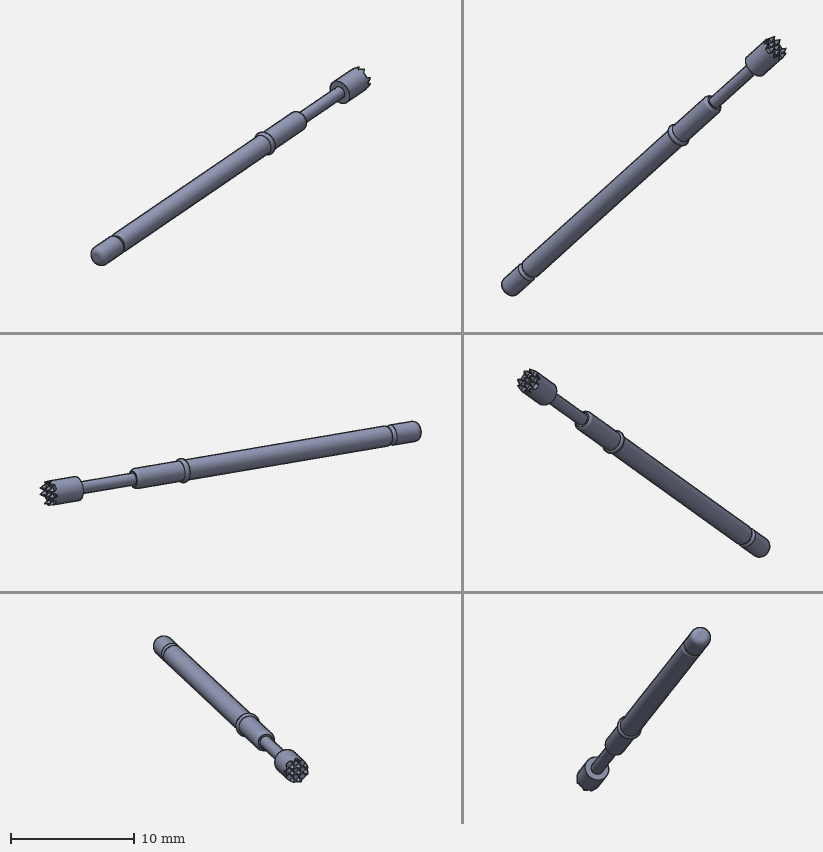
import cadquery as cq
import math

TOTAL_LENGTH = 35.7

HEAD_RADIUS = 1.0
HEAD_REAR_Y = 32.75
STEM_RADIUS = 0.5

TOOTH_HEIGHT = 0.45
TOOTH_HALF_DIAGONAL = 0.31
TOOTH_CROWN_DIAMETER = 1.9
TOOTH_CROWN_RADIUS = TOOTH_CROWN_DIAMETER / 2
INNER_TIP_OFFSET = 0.268
OUTER_TIP_OFFSET = 0.9
HEAD_FLOOR_Y = TOTAL_LENGTH - TOOTH_HEIGHT

BARREL_DIAMETER = 1.68
BARREL_RADIUS = BARREL_DIAMETER / 2
BARREL_FRONT_Y = 27.35
FRONT_FACE_RADIUS = 0.65
FRONT_ROUNDING_LENGTH = 0.32
REAR_FACE_RADIUS = 0.4
REAR_ROUNDING_LENGTH = 0.45

RING_Y = 22.65
RING_HALF_WIDTH = 0.25

CRIMP_RADIUS = 0.68
CRIMP_REAR_Y = 2.55
CRIMP_BOTTOM_Y = 2.85
CRIMP_FRONT_Y = 3.15


def rounding_middle(tangent_point, end_point):
    """Middle of the arc that starts parallel to the axis at tangent_point and runs to end_point."""
    start_radius, start_y = tangent_point
    rise = end_point[0] - start_radius
    run = end_point[1] - start_y
    arc_radius = (rise**2 + run**2) / (2 * abs(rise))
    half_angle = math.atan2(abs(rise), abs(run))
    middle_radius = start_radius + math.copysign(arc_radius * (1 - math.cos(half_angle)), rise)
    middle_y = start_y + math.copysign(arc_radius * math.sin(half_angle), run)
    return middle_radius, middle_y


def turned_body():
    """Revolve the half profile of (radius, Y) points around the Y axis."""
    rear_face = (REAR_FACE_RADIUS, 0)
    rear_tangent = (BARREL_RADIUS, REAR_ROUNDING_LENGTH)
    crimp_rear = (BARREL_RADIUS, CRIMP_REAR_Y)
    crimp_bottom = (CRIMP_RADIUS, CRIMP_BOTTOM_Y)
    crimp_front = (BARREL_RADIUS, CRIMP_FRONT_Y)
    front_tangent = (BARREL_RADIUS, BARREL_FRONT_Y - FRONT_ROUNDING_LENGTH)
    front_face = (FRONT_FACE_RADIUS, BARREL_FRONT_Y)
    profile = (
        cq.Workplane("XY")
        .lineTo(*rear_face)
        .threePointArc(rounding_middle(rear_tangent, rear_face), rear_tangent)
        .lineTo(*crimp_rear)
        .threePointArc(rounding_middle(crimp_bottom, crimp_rear), crimp_bottom)
        .threePointArc(rounding_middle(crimp_front, crimp_bottom), crimp_front)
        .lineTo(BARREL_RADIUS, RING_Y - RING_HALF_WIDTH)
        .threePointArc((HEAD_RADIUS, RING_Y), (BARREL_RADIUS, RING_Y + RING_HALF_WIDTH))
        .lineTo(*front_tangent)
        .threePointArc(rounding_middle(front_tangent, front_face), front_face)
        .lineTo(STEM_RADIUS, BARREL_FRONT_Y)
        .lineTo(STEM_RADIUS, HEAD_REAR_Y)
        .lineTo(HEAD_RADIUS, HEAD_REAR_Y)
        .lineTo(HEAD_RADIUS, HEAD_FLOOR_Y)
        .lineTo(0, HEAD_FLOOR_Y)
        .close()
    )
    return profile.revolve(360, (0, 0, 0), (0, 1, 0))


def tooth(tip_x, tip_z):
    """Square pyramid standing on the end of the head, with its corners facing along X and Z."""
    center = cq.Vector(tip_x, HEAD_FLOOR_Y, tip_z)
    corner_x = cq.Vector(TOOTH_HALF_DIAGONAL, 0, 0)
    corner_z = cq.Vector(0, 0, TOOTH_HALF_DIAGONAL)
    base = [center + corner_x, center + corner_z, center - corner_x, center - corner_z]
    tip = center + cq.Vector(0, TOOTH_HEIGHT, 0)
    outlines = [base]
    for start, end in zip(base, base[1:] + base[:1]):
        outlines.append([start, end, tip])
    faces = [cq.Face.makeFromWires(cq.Wire.makePolygon(points, close=True)) for points in outlines]
    return cq.Workplane(cq.Solid.makeSolid(cq.Shell.makeShell(faces)))


def tooth_envelope():
    """Tapered cone that trims the outer sides of the teeth."""
    return cq.Workplane(
        cq.Solid.makeCone(
            HEAD_RADIUS,
            TOOTH_CROWN_RADIUS,
            TOOTH_HEIGHT,
            cq.Vector(0, HEAD_FLOOR_Y, 0),
            cq.Vector(0, 1, 0),
        )
    )


tip_offsets = [-OUTER_TIP_OFFSET, -INNER_TIP_OFFSET, INNER_TIP_OFFSET, OUTER_TIP_OFFSET]
envelope = tooth_envelope()
probe = turned_body()
for x in tip_offsets:
    for z in tip_offsets:
        if math.hypot(x, z) < TOOTH_CROWN_RADIUS:
            probe = probe.union(tooth(x, z).intersect(envelope))

result = probe.solids()